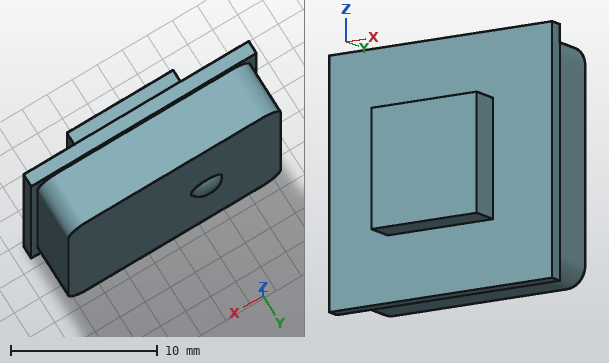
import cadquery as cq

plate_side = 18.0
plate_thickness = 1.0

housing_side = 17.0
housing_depth = 4.0
housing_corner_radius = 1.5

button_side = 8.5
button_height = 2.1

dome_base_radius = 1.25
dome_shoulder_radius = 0.88
dome_shoulder_height = 0.37
dome_top_radius = 0.55
dome_height = 0.49
dome_x = -2.54


def square_block(side, front_y, depth):
    """Square block centred on the Y axis, running from front_y towards +Y."""
    block = cq.Workplane("XY").box(side, depth, side)
    return block.translate((0, front_y + depth / 2, 0))


def make_housing():
    """Square block with its four corners rounded along the depth."""
    block = square_block(housing_side, 0, housing_depth)
    return block.edges("|Y").fillet(housing_corner_radius)


def make_dome():
    """Turned dome whose curved flank rises over a shoulder to a flat top."""
    half_profile = (
        cq.Workplane("XY")
        .lineTo(dome_base_radius, 0)
        .threePointArc((dome_shoulder_radius, dome_shoulder_height), (dome_top_radius, dome_height))
        .lineTo(0, dome_height)
        .close()
    )
    dome = half_profile.revolve(360, (0, 0, 0), (0, 1, 0))
    return dome.translate((dome_x, housing_depth, 0))


plate = square_block(plate_side, -plate_thickness, plate_thickness)
button = square_block(button_side, -plate_thickness - button_height, button_height)

result = plate.union(make_housing()).union(button).union(make_dome())